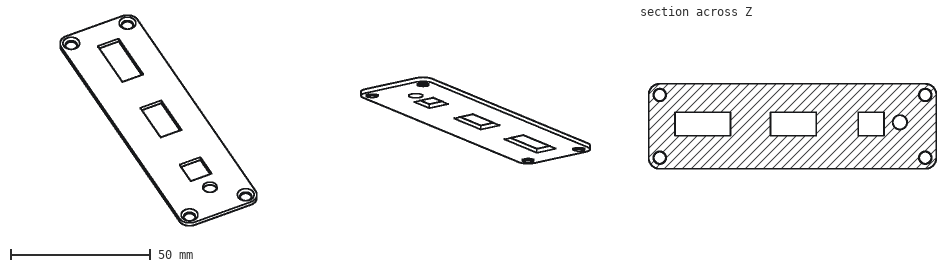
import cadquery as cq

length = 102.9
width = 30.5
thickness = 1.5
corner_radius = 4.0

screw_diameter = 4.2
countersink_diameter = 6.0
countersink_angle = 90
screw_spacing_x = length - 2 * corner_radius
screw_spacing_y = width - 2 * corner_radius

window_center_y = 0.8
window_height = 8.3
windows = [(-32.1, 19.8), (0.3, 16.3), (28.1, 9.1)]

round_hole_diameter = 5.0
round_hole_center = (38.4, 1.4)


def make_plate():
    plate = cq.Workplane("XY").box(length, width, thickness)
    return plate.edges("|Z").fillet(corner_radius)


def cut_screw_holes(plate):
    return (
        plate.faces(">Z").workplane(origin=(0, 0, 0))
        .rect(screw_spacing_x, screw_spacing_y, forConstruction=True)
        .vertices()
        .cskHole(screw_diameter, countersink_diameter, countersink_angle)
    )


def cut_windows(plate):
    for center_x, window_length in windows:
        cutter = cq.Workplane("XY").box(window_length, window_height, 2 * thickness)
        plate = plate.cut(cutter.translate((center_x, window_center_y, 0)))
    return plate


def cut_round_hole(plate):
    cutter = cq.Workplane("XY").circle(round_hole_diameter / 2).extrude(thickness, both=True)
    return plate.cut(cutter.translate((*round_hole_center, 0)))


result = cut_round_hole(cut_windows(cut_screw_holes(make_plate())))